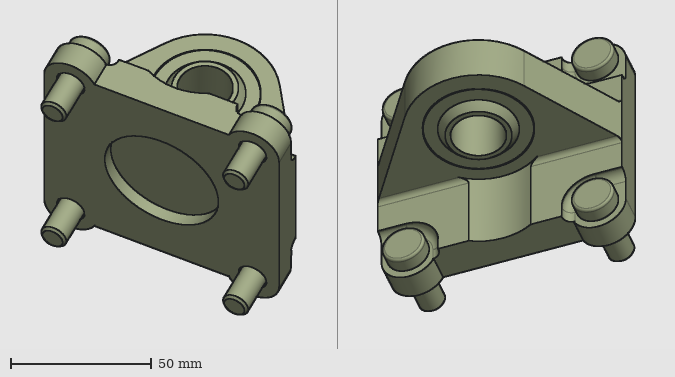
import cadquery as cq
import math


LOBE_RADIUS = 10.5
SCREW_PITCH = 72.0
SCREW_OFFSET = SCREW_PITCH / 2
FLANGE_WIDTH = SCREW_PITCH + 2 * LOBE_RADIUS
FLANGE_HEIGHT = 81.5
FLANGE_THICKNESS = 14.0
LOBE_THICKNESS = 10.0
SCREW_HOLE_DIAMETER = 11.0
RECESS_DIAMETER = 45.0
RECESS_DEPTH = 5.0

POCKET_CLEARANCE = 12.5
POCKET_CORNER_RADIUS = 12.5
POCKET_FLOOR_RADIUS = 3.5

PIVOT_HEIGHT = 36.0
LUG_RADIUS = 27.0
LUG_THICKNESS = 18.0
LUG_ROOT_RADIUS = 2.0
SWING_RADIUS = 25.0

BEARING_DIAMETER = 40.0
BEARING_GROOVE_WIDTH = 0.2
BEARING_GROOVE_DEPTH = 0.5
BALL_DIAMETER = 34.3
BALL_WIDTH = 24.6
BORE_DIAMETER = 20.0

HEAD_DIAMETER = 16.0
HEAD_HEIGHT = 6.5
HEAD_EDGE_RADIUS = 1.0
SHANK_DIAMETER = 10.0
SHANK_PROJECTION = 15.0
TIP_CHAMFER = 1.0

SIGNS = (-1, 1)
CORNERS = [(side_x, side_z) for side_x in SIGNS for side_z in SIGNS]
SCREW_CENTRES = [(sx * SCREW_OFFSET, sz * SCREW_OFFSET) for sx, sz in CORNERS]


def xz_plane(y):
    """Workplane parallel to the mounting face; a negative extrusion goes toward +Y."""
    return cq.Workplane("XZ", origin=(0, y, 0))


def pivot_plane(z):
    """Workplane across the pivot axis, with its origin on the axis."""
    return cq.Workplane("XY", origin=(0, PIVOT_HEIGHT, z))


def make_flange():
    upright = xz_plane(0).rect(SCREW_PITCH, FLANGE_HEIGHT).extrude(-FLANGE_THICKNESS)
    crosswise = xz_plane(0).rect(FLANGE_WIDTH, SCREW_PITCH).extrude(-FLANGE_THICKNESS)
    lobes = xz_plane(0).pushPoints(SCREW_CENTRES).circle(LOBE_RADIUS).extrude(-LOBE_THICKNESS)
    return upright.union(crosswise).union(lobes)


def make_head_pocket(side_x, side_z):
    """Clearance round a screw head, open to both outer sides, with a rounded floor edge."""
    size = FLANGE_WIDTH
    centre = SCREW_OFFSET - POCKET_CLEARANCE + size / 2
    return (
        xz_plane(LOBE_THICKNESS)
        .center(side_x * centre, side_z * centre)
        .rect(size, size)
        .extrude(-size)
        .edges("|Y")
        .fillet(POCKET_CORNER_RADIUS)
        .faces("<Y")
        .edges()
        .fillet(POCKET_FLOOR_RADIUS)
    )


def make_lug():
    half_width = FLANGE_WIDTH / 2
    half_thickness = LUG_THICKNESS / 2
    root_half = half_thickness + LUG_ROOT_RADIUS
    root_top = FLANGE_THICKNESS + LUG_ROOT_RADIUS
    lug_top = PIVOT_HEIGHT + LUG_RADIUS

    drop = PIVOT_HEIGHT - FLANGE_THICKNESS
    corner_distance = math.hypot(half_width, drop)
    tangent_angle = math.acos(LUG_RADIUS / corner_distance) - math.atan2(drop, half_width)
    tangent_x = LUG_RADIUS * math.cos(tangent_angle)
    tangent_y = PIVOT_HEIGHT + LUG_RADIUS * math.sin(tangent_angle)
    outline = (
        cq.Workplane("XY")
        .moveTo(-half_width, FLANGE_THICKNESS)
        .lineTo(-tangent_x, tangent_y)
        .threePointArc((0, lug_top), (tangent_x, tangent_y))
        .lineTo(half_width, FLANGE_THICKNESS)
        .close()
        .extrude(root_half, both=True)
    )

    section = (
        cq.Workplane("YZ")
        .moveTo(FLANGE_THICKNESS, -root_half)
        .radiusArc((root_top, -half_thickness), LUG_ROOT_RADIUS)
        .lineTo(lug_top, -half_thickness)
        .lineTo(lug_top, half_thickness)
        .lineTo(root_top, half_thickness)
        .radiusArc((FLANGE_THICKNESS, root_half), LUG_ROOT_RADIUS)
        .close()
        .extrude(half_width, both=True)
    )
    return outline.intersect(section)


def make_ball():
    ball = pivot_plane(0).sphere(BALL_DIAMETER / 2)
    slab = pivot_plane(0).rect(BALL_DIAMETER, BALL_DIAMETER).extrude(BALL_WIDTH / 2, both=True)
    return ball.intersect(slab)


def make_bracket():
    bracket = make_flange().union(make_lug())

    for side_x, side_z in CORNERS:
        bracket = bracket.cut(make_head_pocket(side_x, side_z))
    screw_holes = xz_plane(0).pushPoints(SCREW_CENTRES).circle(SCREW_HOLE_DIAMETER / 2)
    bracket = bracket.cut(screw_holes.extrude(-LOBE_THICKNESS))
    bracket = bracket.cut(xz_plane(0).circle(RECESS_DIAMETER / 2).extrude(-RECESS_DEPTH))

    for side in SIGNS:
        lug_face = side * LUG_THICKNESS / 2
        swing = pivot_plane(lug_face).circle(SWING_RADIUS).extrude(side * FLANGE_HEIGHT / 2)
        groove = (
            pivot_plane(lug_face)
            .circle(BEARING_DIAMETER / 2)
            .circle(BEARING_DIAMETER / 2 - BEARING_GROOVE_WIDTH)
            .extrude(-side * BEARING_GROOVE_DEPTH)
        )
        bracket = bracket.cut(swing).cut(groove)

    bore = pivot_plane(0).circle(BORE_DIAMETER / 2).extrude(BALL_WIDTH, both=True)
    return bracket.union(make_ball()).cut(bore)


def make_screw(x, z):
    head = (
        xz_plane(LOBE_THICKNESS)
        .center(x, z)
        .circle(HEAD_DIAMETER / 2)
        .extrude(-HEAD_HEIGHT)
        .edges()
        .fillet(HEAD_EDGE_RADIUS)
    )
    shank = (
        xz_plane(LOBE_THICKNESS)
        .center(x, z)
        .circle(SHANK_DIAMETER / 2)
        .extrude(LOBE_THICKNESS + SHANK_PROJECTION)
        .faces("<Y")
        .chamfer(TIP_CHAMFER)
    )
    return head.union(shank)


bracket = make_bracket()
screws = [make_screw(x, z) for x, z in SCREW_CENTRES]

result = cq.Compound.makeCompound([bracket.val(), *[screw.val() for screw in screws]])